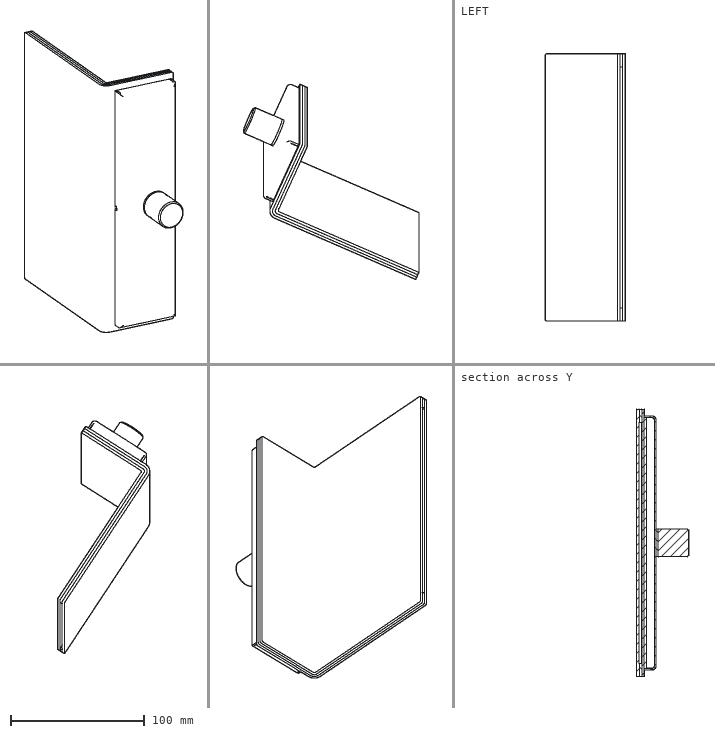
import cadquery as cq
HEIGHT = 200.0
BASE_LENGTH = 121.5
LEG_LENGTH = 60.0
SHEET = 2.0
OUTER_BEND_RADIUS = 6.0
MINIMUM_BEND_RADIUS = 1.0
CORNER_RADIUS = 1.5

SLOT_MARGIN = 10.0

COVER_HEIGHT = 190.0
COVER_WIDTH = 48.0
COVER_DEPTH = 8.8
COVER_START_Y = 10.0
COVER_WALL = 1.5
COVER_BEND_RADIUS = 3.0
SEAM_WIDTH = 0.2

CABLE_HOLE_DIAMETER = 3.2
CABLE_HOLE_OFFSET = 1.5

BASE_PLATE_THICKNESS = 1.5

OVERALL_LENGTH = 154.8
KNOB_DIAMETER = 21.0
KNOB_Y = 40.0
COLLAR_THICKNESS = 1.5
KNOB_CHAMFER = 1.0

COVER_FACE_X = BASE_LENGTH + COVER_DEPTH
COVER_CENTER_Y = COVER_START_Y + COVER_WIDTH / 2
COVER_INNER_WIDTH = COVER_WIDTH - 2 * COVER_WALL
COVER_INNER_HEIGHT = COVER_HEIGHT - 2 * COVER_WALL


def bend_radius(depth):
    """Bend radius of the L-shaped surface lying `depth` inside the bracket's outer face."""
    return max(OUTER_BEND_RADIUS - depth, MINIMUM_BEND_RADIUS)


def angle_sheet(depth, height, leg_end):
    """One L-shaped sheet, its outer face lying `depth` inside the bracket's outer face."""
    outer_x = BASE_LENGTH - depth
    inner_x = outer_x - SHEET
    outer_y = depth
    inner_y = depth + SHEET
    outer_radius = bend_radius(outer_y)
    inner_radius = bend_radius(inner_y)
    return (
        cq.Workplane("XY", origin=(0, 0, -height / 2))
        .moveTo(0, outer_y)
        .lineTo(outer_x - outer_radius, outer_y)
        .radiusArc((outer_x, outer_y + outer_radius), -outer_radius)
        .lineTo(outer_x, leg_end)
        .lineTo(inner_x, leg_end)
        .lineTo(inner_x, inner_y + inner_radius)
        .radiusArc((inner_x - inner_radius, inner_y), inner_radius)
        .lineTo(0, inner_y)
        .close()
        .extrude(height)
    )


def full_sheet(layer):
    """A whole sheet with rounded corners; layer 0 is the outermost."""
    sheet = angle_sheet(layer * SHEET, HEIGHT, LEG_LENGTH)
    base_corners = sheet.faces("<X").edges("|Y")
    leg_corners = sheet.faces(">Y").edges("|X")
    return sheet.newObject(base_corners.vals() + leg_corners.vals()).fillet(CORNER_RADIUS)


def slotted_sheet(layer):
    """A sheet with a wide slot, open at the base end and running round the bend into the leg."""
    slot = angle_sheet(layer * SHEET, HEIGHT - 2 * SLOT_MARGIN, LEG_LENGTH - SLOT_MARGIN)
    return full_sheet(layer).cut(slot)


def block_on_leg(depth, width, height):
    """Block standing on the leg's outer face, centred on the cover."""
    block = cq.Workplane("XY").box(depth, width, height, centered=(False, True, True))
    return block.translate((BASE_LENGTH, COVER_CENTER_Y, 0))


def make_cover():
    """Open tray bent from sheet, with a seam at each corner and a cable hole in its -Y wall."""
    outside = block_on_leg(COVER_DEPTH, COVER_WIDTH, COVER_HEIGHT)
    outside = outside.faces(">X").edges().fillet(COVER_BEND_RADIUS)
    inside = block_on_leg(COVER_DEPTH - COVER_WALL, COVER_INNER_WIDTH, COVER_INNER_HEIGHT)
    inside = inside.faces(">X").edges().fillet(COVER_BEND_RADIUS - COVER_WALL)
    cover = outside.cut(inside)

    seam_block = block_on_leg(COVER_DEPTH - COVER_BEND_RADIUS, COVER_INNER_WIDTH, COVER_HEIGHT)
    end_wall_block = block_on_leg(COVER_DEPTH, COVER_INNER_WIDTH - 2 * SEAM_WIDTH, COVER_HEIGHT)
    cover = cover.cut(seam_block.cut(end_wall_block))

    cable_hole = (
        cq.Workplane("XZ", origin=(BASE_LENGTH + CABLE_HOLE_OFFSET, COVER_START_Y, 0))
        .circle(CABLE_HOLE_DIAMETER / 2)
        .extrude(-COVER_WALL)
    )
    return cover.cut(cable_hole)


def knob_cylinder(start_x, end_x):
    """Cylinder on the knob's axis between two X positions."""
    return (
        cq.Workplane("YZ", origin=(start_x, KNOB_Y, 0))
        .circle(KNOB_DIAMETER / 2)
        .extrude(end_x - start_x)
    )


outer_sheet = full_sheet(0)
middle_sheet = slotted_sheet(1)
inner_sheet = full_sheet(2)
cover = make_cover()
base_plate = block_on_leg(BASE_PLATE_THICKNESS, COVER_INNER_WIDTH, COVER_INNER_HEIGHT)
collar_end_x = COVER_FACE_X + COLLAR_THICKNESS
collar = knob_cylinder(COVER_FACE_X, collar_end_x)
knob = knob_cylinder(collar_end_x, OVERALL_LENGTH).faces(">X").edges().chamfer(KNOB_CHAMFER)

result = cq.Compound.makeCompound(
    [
        outer_sheet.val(),
        middle_sheet.val(),
        inner_sheet.val(),
        cover.val(),
        base_plate.val(),
        collar.val(),
        knob.val(),
    ]
)